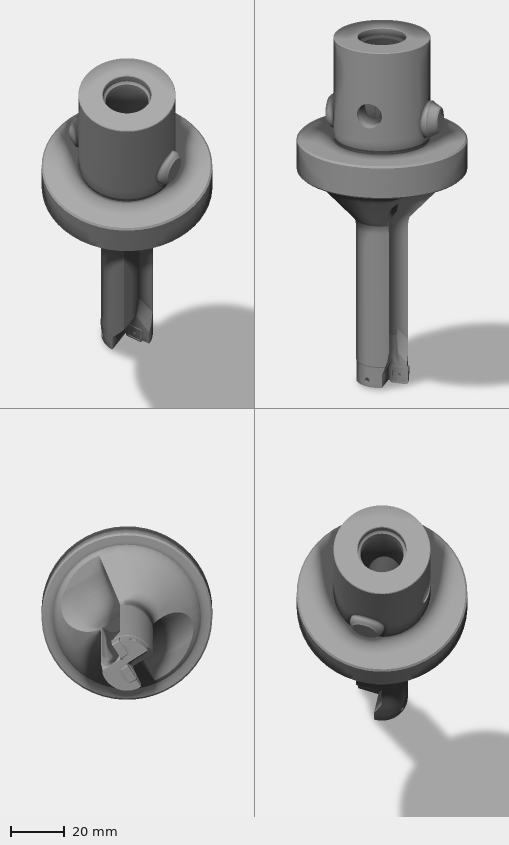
import cadquery as cq
import math

TOTAL_LENGTH = 137.0
SHANK_LENGTH = 40.0
TIP_Z = SHANK_LENGTH - TOTAL_LENGTH
CLEAR = 6.8

SHANK_R = 18.1
SHANK_CHAMFER = 0.3
UNDERCUT_R = 17.7
UNDERCUT_TOP_R = 18.8
UNDERCUT_DEPTH = 0.4
UNDERCUT_HEIGHT = 1.2
FLANGE_R = 31.8
FLANGE_THICKNESS = 13.0
FLANGE_CHAMFER = 0.7
CONE_TOP_R = 27.5
CONE_BOTTOM_R = 10.3
CONE_BOTTOM_Z = -31.6
STEM_R = 9.7
STEM_TOP_Z = -34.8
HEAD_R = 9.6
HEAD_TOP_Z = -88.1
HEAD_STEP = 0.4
HEAD_BOTTOM_Z = -96.0

BORE_R = 8.1
BORE_BOTTOM_Z = 1.4
DRILL_POINT_ANGLE = 118.0
COUNTERBORE_R = 9.0
COUNTERBORE_DEPTH = 2.9
COUNTERBORE_CONE = 0.8
COUNTERBORE_CHAMFER = 0.3

PIN_Z = 9.0
PIN_R = 6.6
BUSH_R = 7.0
BUSH_CHAMFER = BUSH_R - PIN_R
LEFT_PIN_TIP_X = -22.6
LEFT_PIN_TIP_R = 5.1
LEFT_CONE_X = -19.3
PIN_TIP_CHAMFER = 0.5
COLLAR_LEFT_X = -1.5
COLLAR_RIGHT_X = 1.4
COLLAR_R = 7.0
COLLAR_CHAMFER = 0.5
NECK_R = 5.2
NECK_END_X = 5.8
RIGHT_ROUND_X = 17.8
RIGHT_PIN_TIP_X = 20.5
RIGHT_PIN_TIP_R = 5.5
PIN_COUNTERSINK = 1.1
INDEX_HOLE_R = 4.8
INDEX_HOLE_Z = 14.8

FLOOR_Y = 2.5
FLOOR_DRAFT = 0.08
FRONT_WALL_X = 4.0
BACK_WALL_X = 5.0
RUNOUT_R = 16.0
RUNOUT_START_Z = -31.4
RUNOUT_RISE = 1.4
RAMP_START_Z = -75.9
RAMP_LENGTH = 4.7
RAMP_SKEW = 50.0
SCOOP_DEPTH = 4.1
SCOOP_OUTER_Y = -7.8
SCOOP_TOP_Z = -29.7
SCOOP_TOP_DROP = 2.5
SCOOP_BEND_Z = -78.8
SCOOP_OVERCUT = 0.4

FRONT_TIP_WALL_X = -0.7
FRONT_WIDEN_TOP_Z = -82.6
FRONT_WIDEN_END_Z = -89.0
BACK_TIP_WALL_X = 2.5
BACK_WIDEN_TOP_Z = -84.3
BACK_WIDEN_END_Z = -91.2

INSERT_SIDE = 6.8
INSERT_CORNER_R = 0.7
INSERT_THICKNESS = 3.0
INSERT_PROUD = 0.3
INSERT_TILT = 2.0
INSERT_RELIEF = 7.0
FRONT_INSERT_X = 3.2
BACK_INSERT_X = 6.7
SCREW_HEAD_R = 1.8
SCREW_HEAD_DEPTH = 1.2
SCREW_R = 1.0
SCREW_END_Y = 5.5
SOCKET_WIDTH = 1.4
SOCKET_DEPTH = 0.7
RAKE_RECESS_SIDE = 5.5
RAKE_RECESS_DEPTH = 0.3

tilt = math.radians(INSERT_TILT)
corner_reach = (INSERT_SIDE / 2 - INSERT_CORNER_R) * (math.cos(tilt) + math.sin(tilt)) + INSERT_CORNER_R
INSERT_Z = TIP_Z + corner_reach


def half_turn(shape):
    """Turn a shape by 180 degrees about the tool axis."""
    return shape.rotate((0, 0, 0), (0, 0, 1), 180)


def turned_on_x(points):
    """Revolve an (x, radius) outline about the pin axis."""
    outline = cq.Workplane("XY").polyline(points).close()
    return outline.revolve(360, (0, 0, 0), (1, 0, 0)).translate((0, 0, PIN_Z))


def holder_blank():
    """Shank, flange, cone, stem and head, turned in one piece."""
    neck_mid_r = STEM_R + (CONE_BOTTOM_R - STEM_R) / 4
    neck_mid_z = (CONE_BOTTOM_Z + STEM_TOP_Z) / 2
    outline = (
        cq.Workplane("XZ")
        .moveTo(0, SHANK_LENGTH)
        .lineTo(SHANK_R - SHANK_CHAMFER, SHANK_LENGTH)
        .lineTo(SHANK_R, SHANK_LENGTH - SHANK_CHAMFER)
        .lineTo(SHANK_R, UNDERCUT_HEIGHT)
        .lineTo(UNDERCUT_R, UNDERCUT_DEPTH)
        .lineTo(UNDERCUT_R, -UNDERCUT_DEPTH)
        .lineTo(UNDERCUT_TOP_R, 0)
        .lineTo(FLANGE_R - FLANGE_CHAMFER, 0)
        .lineTo(FLANGE_R, -FLANGE_CHAMFER)
        .lineTo(FLANGE_R, FLANGE_CHAMFER - FLANGE_THICKNESS)
        .lineTo(FLANGE_R - FLANGE_CHAMFER, -FLANGE_THICKNESS)
        .lineTo(CONE_TOP_R, -FLANGE_THICKNESS)
        .lineTo(CONE_BOTTOM_R, CONE_BOTTOM_Z)
        .threePointArc((neck_mid_r, neck_mid_z), (STEM_R, STEM_TOP_Z))
        .lineTo(STEM_R, HEAD_TOP_Z + HEAD_STEP)
        .lineTo(HEAD_R, HEAD_TOP_Z)
        .lineTo(HEAD_R, HEAD_BOTTOM_Z)
        .lineTo(0, HEAD_BOTTOM_Z)
        .close()
    )
    return outline.revolve(360, (0, 0, 0), (0, 1, 0))


def central_bore():
    """Blind bore with a counterbored, chamfered mouth and a drill point."""
    shoulder_z = SHANK_LENGTH - COUNTERBORE_DEPTH
    point_depth = BORE_R / math.tan(math.radians(DRILL_POINT_ANGLE / 2))
    outline = cq.Workplane("XZ").polyline([
        (0, SHANK_LENGTH),
        (COUNTERBORE_R + COUNTERBORE_CHAMFER, SHANK_LENGTH),
        (COUNTERBORE_R, SHANK_LENGTH - COUNTERBORE_CHAMFER),
        (COUNTERBORE_R, shoulder_z),
        (BORE_R, shoulder_z - COUNTERBORE_CONE),
        (BORE_R, BORE_BOTTOM_Z),
        (0, BORE_BOTTOM_Z - point_depth),
    ]).close()
    return outline.revolve(360, (0, 0, 0), (0, 1, 0))


def pin_hole(radius, side):
    """Cross hole from the axis to one side of the shank (side is -1 or 1), with a 45 degree countersink."""
    sink_x = SHANK_R - PIN_COUNTERSINK
    return turned_on_x([
        (0, 0),
        (0, radius),
        (side * sink_x, radius),
        (side * SHANK_R, radius + PIN_COUNTERSINK),
        (side * SHANK_R, 0),
    ])


def index_hole():
    """Radial hole from the +Y side of the shank into the bore."""
    hole = cq.Workplane("XZ").circle(INDEX_HOLE_R).extrude(-(SHANK_R + CLEAR))
    return hole.translate((0, 0, INDEX_HOLE_Z))


def flute(wall_x):
    """Straight flute with an arc runout in the cone and a ramped floor near the head."""
    reach = FLANGE_R
    bottom_z = HEAD_BOTTOM_Z - CLEAR
    runout_top_z = RUNOUT_START_Z + RUNOUT_R
    bulge = RUNOUT_R * (1 - math.sqrt(0.5))
    side_shape = (
        cq.Workplane("XZ")
        .moveTo(wall_x, bottom_z)
        .lineTo(wall_x, RUNOUT_START_Z)
        .threePointArc((wall_x + bulge, runout_top_z - bulge), (wall_x + RUNOUT_R, runout_top_z))
        .lineTo(reach, runout_top_z + RUNOUT_RISE)
        .lineTo(reach, bottom_z)
        .close()
        .extrude(reach, both=True)
    )
    floor_end_y = FLOOR_Y + FLOOR_DRAFT * (reach - wall_x)
    plan_shape = (
        cq.Workplane("XY", origin=(0, 0, bottom_z))
        .polyline([(wall_x, -reach), (wall_x, FLOOR_Y), (reach, floor_end_y), (reach, -reach)])
        .close()
        .extrude(-bottom_z)
    )
    return side_shape.intersect(plan_shape).cut(floor_ramp(wall_x))


def floor_ramp(wall_x):
    """Material left in the flute where its floor rises to the axis, skewed across the flute."""
    deep_y = FLOOR_Y + CLEAR
    rise = RAMP_LENGTH * deep_y / FLOOR_Y
    ramp = (
        cq.Workplane("YZ")
        .polyline([(0, -RAMP_LENGTH), (deep_y, rise - RAMP_LENGTH), (deep_y, -FLANGE_R), (0, -FLANGE_R)])
        .close()
        .extrude(FLANGE_R, both=True)
    )
    return ramp.rotate((0, 0, 0), (0, 1, 0), RAMP_SKEW).translate((wall_x, 0, RAMP_START_Z))


def flute_end(wall_x, top_z, tip_wall_x, end_z):
    """Widening of the flute towards the tip, down to the axis plane."""
    bottom_z = HEAD_BOTTOM_Z - CLEAR
    side_x = STEM_R + CLEAR
    outline = cq.Workplane("XZ").polyline([
        (wall_x, top_z),
        (tip_wall_x, end_z),
        (tip_wall_x, bottom_z),
        (side_x, bottom_z),
        (side_x, end_z),
        (wall_x, end_z),
    ]).close()
    return outline.extrude(side_x)


def scoop_section(wall_x, shift_x, shift_y, z):
    """Hollow arc section of the scoop in the flute wall."""
    mid_y = (SCOOP_OUTER_Y + FLOOR_Y) / 2
    return (
        cq.Workplane("XY", origin=(shift_x, shift_y, z))
        .moveTo(wall_x, SCOOP_OUTER_Y)
        .threePointArc((wall_x - SCOOP_DEPTH, mid_y), (wall_x, FLOOR_Y))
        .lineTo(wall_x + SCOOP_OVERCUT, FLOOR_Y)
        .lineTo(wall_x + SCOOP_OVERCUT, SCOOP_OUTER_Y)
        .close()
    )


def wall_scoop(wall_x, tip_wall_x, end_z):
    """Hollow along the flute wall, sloped at its top and fading out at the tip wall."""
    straight = scoop_section(wall_x, 0, 0, SCOOP_BEND_Z).extrude(SCOOP_TOP_Z - SCOOP_BEND_Z)
    top_slope = (
        cq.Workplane("XZ")
        .moveTo(wall_x, SCOOP_TOP_Z)
        .lineTo(wall_x - SCOOP_DEPTH, SCOOP_TOP_Z - SCOOP_TOP_DROP)
        .lineTo(wall_x - SCOOP_DEPTH, SCOOP_TOP_Z)
        .close()
        .extrude(STEM_R, both=True)
    )
    fade_x = tip_wall_x - (wall_x - SCOOP_DEPTH)
    upper = scoop_section(wall_x, 0, 0, SCOOP_BEND_Z).wires().val()
    lower = scoop_section(wall_x, fade_x, -FLOOR_Y, end_z).wires().val()
    fade = cq.Workplane(cq.Solid.makeLoft([upper, lower], True))
    return straight.cut(top_slope).union(fade)


SCREW_FACE_Y = RAKE_RECESS_DEPTH - INSERT_PROUD


def screw_blank(center_x):
    """Countersunk screw body without its socket; it also shapes the hole in the insert."""
    outline = cq.Workplane("XY").polyline([
        (0, SCREW_FACE_Y),
        (SCREW_HEAD_R, SCREW_FACE_Y),
        (SCREW_R, SCREW_FACE_Y + SCREW_HEAD_DEPTH),
        (SCREW_R, SCREW_END_Y),
        (0, SCREW_END_Y),
    ]).close()
    return outline.revolve(360, (0, 0, 0), (0, 1, 0)).translate((center_x, 0, INSERT_Z))


def insert_screw(center_x):
    """Screw that holds an insert, with a hexagon socket in its head."""
    socket = cq.Workplane("XZ").polygon(6, SOCKET_WIDTH).extrude(-SOCKET_DEPTH)
    return screw_blank(center_x).cut(socket.translate((center_x, SCREW_FACE_Y, INSERT_Z)))


def placed_in_seat(shape, center_x):
    """Tilt a shape drawn about the origin and move it to an insert seat."""
    tilted = shape.rotate((0, 0, 0), (0, 1, 0), INSERT_TILT)
    return tilted.translate((center_x, -INSERT_PROUD, INSERT_Z))


def insert_plate(center_x):
    """Square cutting plate with rounded corners and relieved flanks."""
    plate = (
        cq.Workplane("XZ")
        .sketch()
        .rect(INSERT_SIDE, INSERT_SIDE)
        .vertices()
        .fillet(INSERT_CORNER_R)
        .finalize()
        .extrude(-INSERT_THICKNESS, taper=INSERT_RELIEF)
    )
    return placed_in_seat(plate, center_x)


def rake_recess(center_x):
    """Shallow square recess that leaves a cutting land around the rake face."""
    recess = cq.Workplane("XZ").rect(RAKE_RECESS_SIDE, RAKE_RECESS_SIDE).extrude(-RAKE_RECESS_DEPTH)
    return placed_in_seat(recess, center_x)


def cutting_insert(center_x):
    """Cutting plate with its screw hole and a recess in the rake face."""
    return insert_plate(center_x).cut(rake_recess(center_x)).cut(screw_blank(center_x))


def screw_hole(center_x):
    """Screw hole through the head."""
    return cq.Workplane("XZ").center(center_x, INSERT_Z).circle(SCREW_R).extrude(-(STEM_R + CLEAR))


def left_pin():
    """Round pin with a conical outer end."""
    return turned_on_x([
        (LEFT_PIN_TIP_X, 0),
        (LEFT_PIN_TIP_X, LEFT_PIN_TIP_R - PIN_TIP_CHAMFER),
        (LEFT_PIN_TIP_X + PIN_TIP_CHAMFER, LEFT_PIN_TIP_R),
        (LEFT_CONE_X, PIN_R),
        (COLLAR_LEFT_X, PIN_R),
        (COLLAR_LEFT_X, 0),
    ])


def left_bush():
    """Sleeve around the left pin, from its cone to the bore."""
    sleeve = turned_on_x([
        (LEFT_CONE_X, PIN_R),
        (LEFT_CONE_X + BUSH_CHAMFER, BUSH_R),
        (0, BUSH_R),
        (0, PIN_R),
    ])
    bore = cq.Workplane("XY").circle(BORE_R).extrude(SHANK_LENGTH)
    return sleeve.cut(bore)


def collar():
    """Chamfered disc between the two pins."""
    rim_r = COLLAR_R - COLLAR_CHAMFER
    return turned_on_x([
        (COLLAR_LEFT_X, 0),
        (COLLAR_LEFT_X, rim_r),
        (COLLAR_LEFT_X + COLLAR_CHAMFER, COLLAR_R),
        (COLLAR_RIGHT_X - COLLAR_CHAMFER, COLLAR_R),
        (COLLAR_RIGHT_X, rim_r),
        (COLLAR_RIGHT_X, 0),
    ])


def right_pin():
    """Round pin with a slimmer neck inside and a rounded outer end."""
    tip_edge_x = RIGHT_PIN_TIP_X - PIN_TIP_CHAMFER
    outline = (
        cq.Workplane("XY")
        .moveTo(COLLAR_RIGHT_X, 0)
        .lineTo(COLLAR_RIGHT_X, NECK_R)
        .lineTo(NECK_END_X, NECK_R)
        .lineTo(NECK_END_X, PIN_R)
        .lineTo(RIGHT_ROUND_X, PIN_R)
        .tangentArcPoint((tip_edge_x, RIGHT_PIN_TIP_R), relative=False)
        .lineTo(RIGHT_PIN_TIP_X, RIGHT_PIN_TIP_R - PIN_TIP_CHAMFER)
        .lineTo(RIGHT_PIN_TIP_X, 0)
        .close()
    )
    return outline.revolve(360, (0, 0, 0), (1, 0, 0)).translate((0, 0, PIN_Z))


pins = [left_pin(), left_bush(), collar(), right_pin()]

inserts = [cutting_insert(FRONT_INSERT_X), half_turn(cutting_insert(BACK_INSERT_X))]
screws = [insert_screw(FRONT_INSERT_X), half_turn(insert_screw(BACK_INSERT_X))]

holder_cuts = [
    central_bore(),
    index_hole(),
    pin_hole(BUSH_R, -1),
    pin_hole(PIN_R, 1),
    flute(FRONT_WALL_X),
    flute_end(FRONT_WALL_X, FRONT_WIDEN_TOP_Z, FRONT_TIP_WALL_X, FRONT_WIDEN_END_Z),
    half_turn(flute(BACK_WALL_X)),
    half_turn(flute_end(BACK_WALL_X, BACK_WIDEN_TOP_Z, BACK_TIP_WALL_X, BACK_WIDEN_END_Z)),
    half_turn(wall_scoop(BACK_WALL_X, BACK_TIP_WALL_X, BACK_WIDEN_END_Z)),
    screw_hole(FRONT_INSERT_X),
    half_turn(screw_hole(BACK_INSERT_X)),
    insert_plate(FRONT_INSERT_X),
    half_turn(insert_plate(BACK_INSERT_X)),
]
holder = holder_blank()
for cutter in holder_cuts:
    holder = holder.cut(cutter)

bodies = [holder, *pins, *inserts, *screws]
result = cq.Compound.makeCompound([body.val() for body in bodies])